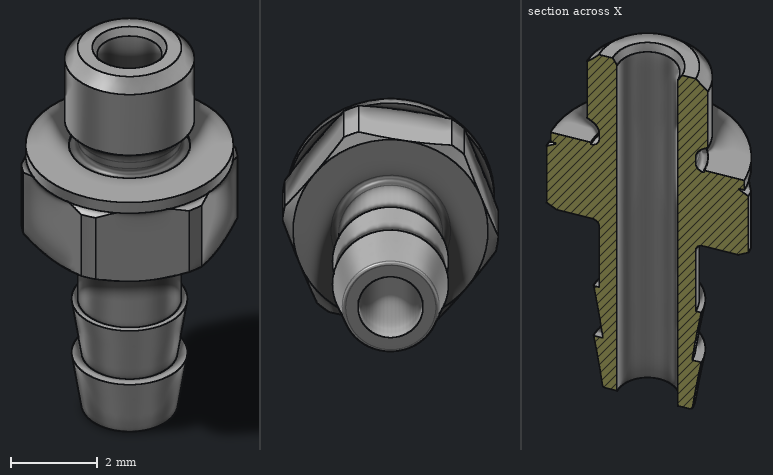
import cadquery as cq
import math

total_height = 10.0

barb_count = 2
barb_pitch = 1.5
barb_large_radius = 1.34
barb_small_radius = 1.11
tip_fillet = 0.08

stem_radius = 1.2
stem_fillet = 0.18

hex_bottom = 5.0
hex_height = 2.0
hex_across_flats = 4.5
hex_corner_diameter = 5.0
hex_chamfer_angle = 30.0

washer_radius = 2.4
washer_inner_radius = 1.4
washer_thickness = 0.3

neck_radius = 1.2
neck_bottom = 7.44
neck_top = 7.61
undercut_end_radius = 1.37
undercut_end_height = 7.92

thread_radius = 1.5
thread_bottom = 8.0
thread_chamfer = 0.3

bore_radius = 0.75
bore_mouth_radius = 0.86
bore_mouth_half_angle = 30.0

hex_top = hex_bottom + hex_height
washer_top = hex_top + washer_thickness
barbs_top = barb_count * barb_pitch


def make_barb(bottom):
    """Solid cone that widens upward, ending in a sharp gripping edge."""
    top = bottom + barb_pitch
    profile = (
        cq.Workplane("XZ")
        .moveTo(0, bottom)
        .lineTo(barb_small_radius, bottom)
        .lineTo(barb_large_radius, top)
        .lineTo(0, top)
        .close()
    )
    return profile.revolve(360, (0, 0, 0), (0, 1, 0))


def make_stem():
    """Plain stem between the barbs and the hexagon, flared into the hexagon."""
    profile = (
        cq.Workplane("XZ")
        .moveTo(0, barbs_top)
        .lineTo(stem_radius, barbs_top)
        .lineTo(stem_radius, hex_bottom - stem_fillet)
        .tangentArcPoint((stem_radius + stem_fillet, hex_bottom), relative=False)
        .lineTo(0, hex_bottom)
        .close()
    )
    return profile.revolve(360, (0, 0, 0), (0, 1, 0))


def make_hexagon():
    """Hexagon with flats facing +X and -X, its corners rounded and chamfered."""
    circumscribed_diameter = hex_across_flats / math.cos(math.radians(30))
    prism = (
        cq.Workplane("XY", origin=(0, 0, hex_bottom))
        .polygon(6, circumscribed_diameter)
        .extrude(hex_height)
        .rotate((0, 0, 0), (0, 0, 1), 30)
    )
    corner_radius = hex_corner_diameter / 2
    face_radius = hex_across_flats / 2
    chamfer_height = (corner_radius - face_radius) * math.tan(math.radians(hex_chamfer_angle))
    envelope = (
        cq.Workplane("XZ")
        .moveTo(0, hex_bottom)
        .lineTo(face_radius, hex_bottom)
        .lineTo(corner_radius, hex_bottom + chamfer_height)
        .lineTo(corner_radius, hex_top - chamfer_height)
        .lineTo(face_radius, hex_top)
        .lineTo(0, hex_top)
        .close()
        .revolve(360, (0, 0, 0), (0, 1, 0))
    )
    return prism.intersect(envelope)


def make_threaded_end():
    """Washer, undercut neck and chamfered thread cylinder in one turned profile."""
    neck_fillet = washer_inner_radius - neck_radius
    profile = (
        cq.Workplane("XZ")
        .moveTo(0, hex_top)
        .lineTo(washer_radius, hex_top)
        .lineTo(washer_radius, washer_top)
        .lineTo(washer_inner_radius, washer_top)
        .lineTo(washer_inner_radius, neck_bottom - neck_fillet)
        .radiusArc((neck_radius, neck_bottom), neck_fillet)
        .lineTo(neck_radius, neck_top)
        .tangentArcPoint((undercut_end_radius, undercut_end_height), relative=False)
        .lineTo(thread_radius, thread_bottom)
        .lineTo(thread_radius, total_height - thread_chamfer)
        .lineTo(thread_radius - thread_chamfer, total_height)
        .lineTo(0, total_height)
        .close()
    )
    return profile.revolve(360, (0, 0, 0), (0, 1, 0))


def make_bore():
    """Through bore with a conical mouth at the threaded end."""
    mouth_depth = (bore_mouth_radius - bore_radius) / math.tan(math.radians(bore_mouth_half_angle))
    profile = (
        cq.Workplane("XZ")
        .lineTo(bore_radius, 0)
        .lineTo(bore_radius, total_height - mouth_depth)
        .lineTo(bore_mouth_radius, total_height)
        .lineTo(0, total_height)
        .close()
    )
    return profile.revolve(360, (0, 0, 0), (0, 1, 0))


body = make_barb(0).faces("<Z").edges().fillet(tip_fillet)
for index in range(1, barb_count):
    body = body.union(make_barb(index * barb_pitch))

body = body.union(make_stem()).union(make_hexagon()).union(make_threaded_end())
result = body.cut(make_bore())